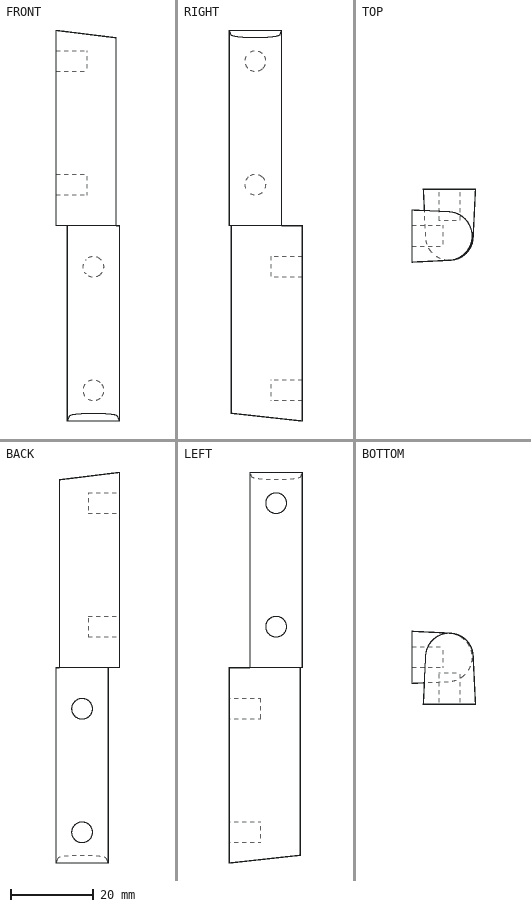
import cadquery as cq
import math

total_height = 95.0
total_width_x = 15.5
total_width_y = 17.8

flat_width = 12.7
side_draft = math.radians(2.8)
upper_depth = 14.6
lower_depth = 17.3
leaf_height = total_height / 2

upper_end_drop = 1.8
lower_end_drop = 1.9

hole_diameter = 5.0
hole_depth = 7.6
first_hole_height = 10.0
hole_spacing = 30.0

half_flat = flat_width / 2
joint_height = total_height / 2
lower_center_x = total_width_x - half_flat
lower_face_y = total_width_y - half_flat


def leaf_profile(depth):
    """Section with its flat on the Y axis and its nose, tangent to the sides, toward +X."""
    sin_draft = math.sin(side_draft)
    cos_draft = math.cos(side_draft)
    nose_radius = (half_flat * cos_draft - depth * sin_draft) / (1 - sin_draft)
    tangent_x = depth - nose_radius + nose_radius * sin_draft
    tangent_y = nose_radius * cos_draft
    return (
        cq.Workplane("XY")
        .moveTo(0, -half_flat)
        .lineTo(tangent_x, -tangent_y)
        .threePointArc((depth, 0), (tangent_x, tangent_y))
        .lineTo(0, half_flat)
        .close()
    )


def sloped_end_limit(depth, end_drop):
    """Block whose top slopes down from the mounting face to the nose."""
    return (
        cq.Workplane("XZ")
        .polyline([(0, 0), (depth, 0), (depth, leaf_height - end_drop), (0, leaf_height)])
        .close()
        .extrude(half_flat, both=True)
    )


def mounting_holes():
    """Two blind hole cutters running into the leaf from its flat face."""
    return (
        cq.Workplane("YZ")
        .pushPoints([(0, first_hole_height), (0, first_hole_height + hole_spacing)])
        .circle(hole_diameter / 2)
        .extrude(hole_depth)
    )


def hinge_leaf(depth, end_drop):
    """Leaf standing on its joint face at Z = 0 with its flat face toward -X."""
    body = leaf_profile(depth).extrude(leaf_height)
    return body.intersect(sloped_end_limit(depth, end_drop)).cut(mounting_holes())


upper_leaf = hinge_leaf(upper_depth, upper_end_drop).translate((0, 0, joint_height))

lower_leaf = (
    hinge_leaf(lower_depth, lower_end_drop)
    .rotate((0, 0, 0), (1, 0, 0), 180)
    .rotate((0, 0, 0), (0, 0, 1), -90)
    .translate((lower_center_x, lower_face_y, joint_height))
)

result = cq.Compound.makeCompound([upper_leaf.val(), lower_leaf.val()])